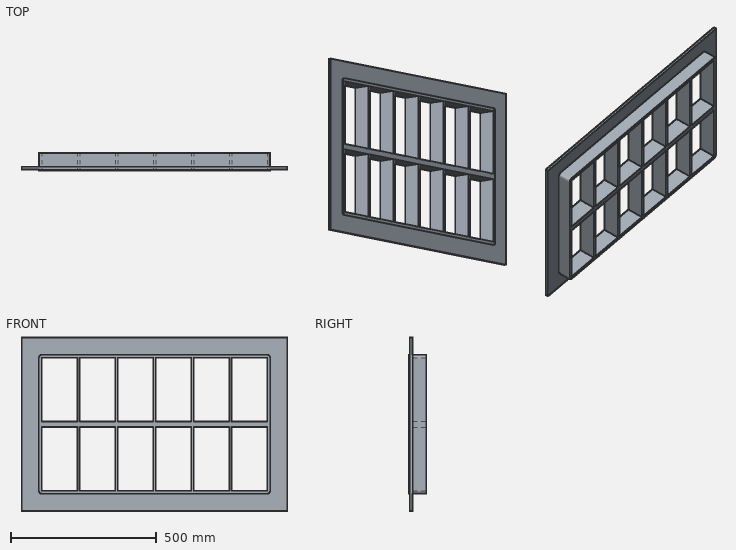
import cadquery as cq

flange_width = 913.0
flange_height = 596.0
flange_thickness = 10.0

flange_margin = 59.0
body_width = flange_width - 2 * flange_margin
body_height = flange_height - 2 * flange_margin
body_depth = 60.0
front_lip = 3.0
corner_radius = 11.0

columns = 6
rows = 2
wall = 11.0
upright_thickness = 9.0
crossbar_thickness = 19.0
opening_width = (body_width - 2 * wall - (columns - 1) * upright_thickness) / columns
opening_height = (body_height - 2 * wall - (rows - 1) * crossbar_thickness) / rows


def block(width, depth, height, front_y):
    """Box centred in X and Z, extending toward +Y from front_y."""
    return cq.Workplane("XY").box(width, depth, height).translate((0, front_y + depth / 2, 0))


def make_openings():
    """Cutters for every opening, through the full body depth."""
    return (
        cq.Workplane("XZ")
        .rarray(
            opening_width + upright_thickness,
            opening_height + crossbar_thickness,
            columns,
            rows,
        )
        .rect(opening_width, opening_height)
        .extrude(-body_depth)
    )


flange = block(flange_width, flange_thickness, flange_height, front_lip)
body = block(body_width, body_depth, body_height, 0).edges("|Y").fillet(corner_radius)

result = flange.union(body).cut(make_openings())